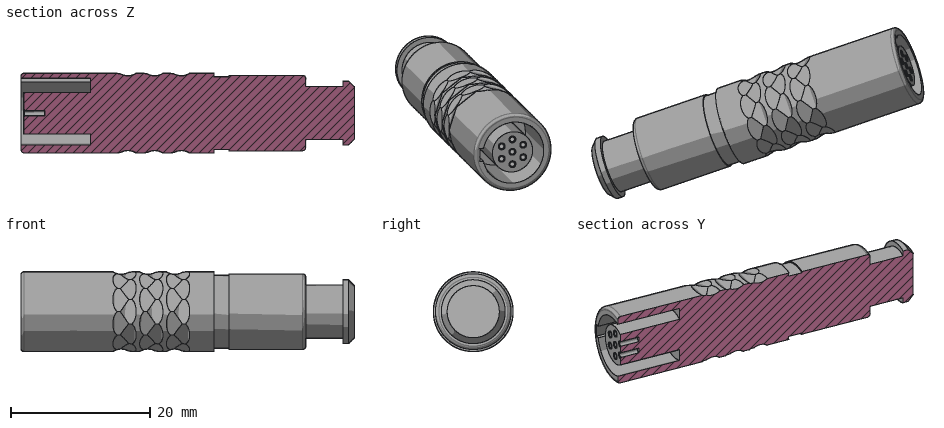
import cadquery as cq

grip_radius = 5.75
grip_end = 27.8
groove_radius = 5.27
groove_end = 29.9
barrel_radius = 5.45
barrel_end = 41.0
barrel_fillet = 0.5
neck_radius = 3.85
flange_start = 46.3
flange_radius = 4.6
flange_chamfer = 0.85
overall_length = 48.0
mouth_fillet = 0.45

socket_radius = 4.55
socket_depth = 10.0
keyway_width = 1.9
keyway_reach = 5.0
insert_radius = 3.0
insert_recess = 0.4

contact_count = 6
first_contact_angle = 90
contact_circle_radius = 1.85
contact_rim_radius = 0.5
contact_rim_depth = 0.1
contact_bore_radius = 0.35
contact_depth = 3.0

scoops_per_row = 10
scoop_depth = 0.36
scoop_half_length = 1.2
band_count = 3
rows_per_band = 2
band_pitch = 3.85
first_row_x = 14.43
row_spacing = 0.95

scoop_pitch_angle = 360 / scoops_per_row
scoop_radius = (scoop_half_length**2 + scoop_depth**2) / (2 * scoop_depth)
scoop_cutter_length = grip_radius


def x_cylinder(x_start, x_end, radius):
    """Solid cylinder on the part axis between two X positions."""
    return cq.Workplane("YZ", origin=(x_start, 0, 0)).circle(radius).extrude(x_end - x_start)


def make_shell():
    """Stepped outer body, rounded at the mouth and at the barrel end, chamfered at the rear."""
    grip = x_cylinder(0, grip_end, grip_radius).faces("<X").edges().fillet(mouth_fillet)
    groove = x_cylinder(grip_end, groove_end, groove_radius)
    barrel = x_cylinder(groove_end, barrel_end, barrel_radius).faces(">X").edges().fillet(barrel_fillet)
    neck = x_cylinder(barrel_end, flange_start, neck_radius)
    flange = x_cylinder(flange_start, overall_length, flange_radius).faces(">X").chamfer(flange_chamfer)
    return grip.union(groove).union(barrel).union(neck).union(flange)


def scoop_cutter(x, angle):
    """Cylinder lying tangentially across the grip, turned to an angle about X."""
    axis_height = grip_radius + scoop_radius - scoop_depth
    cutter = cq.Solid.makeCylinder(
        scoop_radius,
        scoop_cutter_length,
        cq.Vector(x, -scoop_cutter_length / 2, axis_height),
        cq.Vector(0, 1, 0),
    )
    return cutter.rotate(cq.Vector(0, 0, 0), cq.Vector(1, 0, 0), angle)


def make_scoops():
    """All scoop cutters; the second row of a band is turned by half a pitch."""
    cutters = []
    for band in range(band_count):
        for row in range(rows_per_band):
            x = first_row_x + band * band_pitch + row * row_spacing
            for i in range(scoops_per_row):
                cutters.append(scoop_cutter(x, (i + row / rows_per_band) * scoop_pitch_angle))
    return cutters


def make_socket():
    """Round socket with a keyway on the +Y side, leaving the insert standing on its floor."""
    bore = x_cylinder(0, socket_depth, socket_radius)
    keyway = cq.Workplane("XY").box(
        socket_depth, keyway_reach, keyway_width, centered=(False, False, True)
    )
    insert = x_cylinder(insert_recess, socket_depth, insert_radius)
    return bore.union(keyway).cut(insert)


def contact_hole_set(radius, depth):
    """One central hole and a ring of holes around it, cut from the insert face."""
    face = cq.Workplane("YZ", origin=(insert_recess, 0, 0))
    ring = face.polarArray(contact_circle_radius, first_contact_angle, 360, contact_count)
    ring = ring.circle(radius).extrude(depth)
    return ring.union(face.circle(radius).extrude(depth))


def make_contact_holes():
    """Contact bores, each with a shallow wider rim at its mouth."""
    rims = contact_hole_set(contact_rim_radius, contact_rim_depth)
    return rims.union(contact_hole_set(contact_bore_radius, contact_depth))


shell = make_shell().val().cut(*make_scoops())
result = cq.Workplane("XY").newObject([shell]).cut(make_socket()).cut(make_contact_holes())